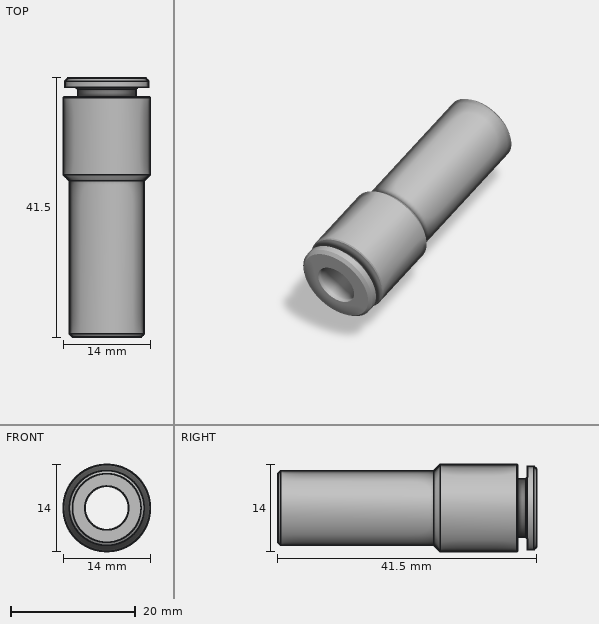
import cadquery as cq

total_length = 41.5
flange_thickness = 1.5
neck_length = 1.55
shoulder_to_flange_face = 16.48

body_diameter = 14.0
stem_diameter = 12.0
flange_diameter = 13.45
neck_diameter = 9.38
bore_diameter = 6.97

stem_chamfer = 0.5
flange_chamfer = 0.5
neck_flare = 0.3
body_chamfer = 0.15

body_radius = body_diameter / 2
stem_radius = stem_diameter / 2
flange_radius = flange_diameter / 2
neck_radius = neck_diameter / 2
bore_radius = bore_diameter / 2

shoulder_start = total_length - shoulder_to_flange_face
shoulder_end = shoulder_start + body_radius - stem_radius
flange_start = total_length - flange_thickness
body_end = flange_start - neck_length

half_section = [
    (bore_radius, 0),
    (stem_radius - stem_chamfer, 0),
    (stem_radius, stem_chamfer),
    (stem_radius, shoulder_start),
    (body_radius, shoulder_end),
    (body_radius, body_end - body_chamfer),
    (body_radius - body_chamfer, body_end),
    (neck_radius, body_end),
    (neck_radius, flange_start - neck_flare),
    (neck_radius + neck_flare, flange_start),
    (flange_radius, flange_start),
    (flange_radius, total_length - flange_chamfer),
    (flange_radius - flange_chamfer, total_length),
    (bore_radius, total_length),
]

result = cq.Workplane("XY").polyline(half_section).close().revolve(360, (0, 0, 0), (0, 1, 0))